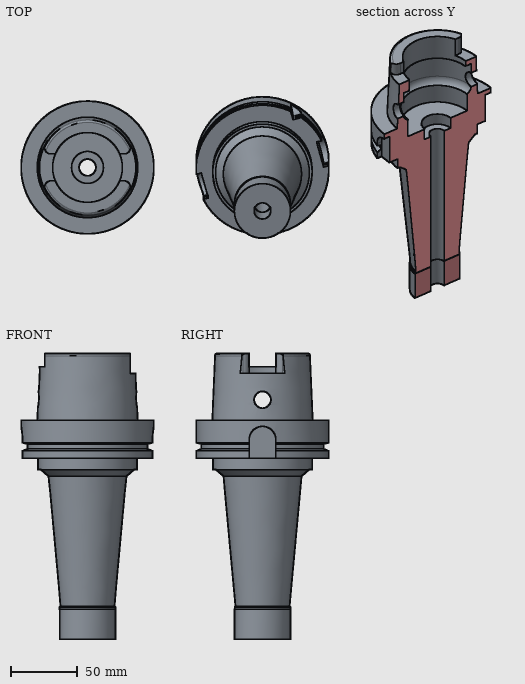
import cadquery as cq
import math

shank_top = 50.0
overall_length = 215.0
holder_bottom = -142.3
nut_bottom = shank_top - overall_length
collar_top = -140.0
flange_bottom = -28.8
neck_bottom = -37.2
taper_top = -42.1

flange_radius = 49.99
shank_top_radius = 35.7
shank_base_radius = 37.8
shank_edge_radius = 1.7
neck_radius = 37.5
cone_top_radius = 35.3
taper_top_radius = 29.5
nut_radius = 21.0
collar_chamfer = 0.6

groove_floor_radius = 46.2
groove_top = -17.0
groove_floor_top = -18.0
groove_floor_bottom = -21.7
groove_bottom = -23.2

mouth_radius = 26.2
lip_bottom = 29.9
undercut_radius = 31.4
lower_bore_radius = 27.5
undercut_bottom = 9.7
shoulder_round = 6.5
shoulder_inset = shoulder_round - (undercut_radius - lower_bore_radius)
shoulder_bottom = undercut_bottom - math.sqrt(shoulder_round**2 - shoulder_inset**2)
lower_bore_floor = -11.6
socket_radius = 12.0
socket_floor = -21.0
through_radius = 6.2

cross_hole_radius = 6.2
cross_hole_height = 15.3

notch_half_width = 10.0
notch_corner_radius = 4.7
tooth_half_length = 32.2
left_notch_floor = shank_top - 9.9
right_notch_floor = shank_top - 15.0

slot_radius = 10.0
slot_arch_top = -4.7
key_slot_floor = 45.0
side_slot_floor = 32.5
side_slot_offset = 41.3


def revolve_about_axis(profile):
    """Full turn of a half profile about the Z axis."""
    full_turn = 360
    return profile.revolve(full_turn, (0, 0, 0), (0, 1, 0))


def make_blank():
    """Turned outside of the holder."""
    profile = (
        cq.Workplane("YZ")
        .moveTo(0, shank_top)
        .lineTo(shank_top_radius, shank_top)
        .lineTo(shank_base_radius, 0)
        .lineTo(flange_radius, 0)
        .lineTo(flange_radius, groove_top)
        .lineTo(groove_floor_radius, groove_floor_top)
        .lineTo(groove_floor_radius, groove_floor_bottom)
        .lineTo(flange_radius, groove_bottom)
        .lineTo(flange_radius, flange_bottom)
        .lineTo(neck_radius, flange_bottom)
        .lineTo(neck_radius, neck_bottom)
        .lineTo(cone_top_radius, neck_bottom)
        .lineTo(taper_top_radius, taper_top)
        .lineTo(nut_radius - collar_chamfer, collar_top)
        .lineTo(nut_radius, collar_top - collar_chamfer)
        .lineTo(nut_radius, holder_bottom)
        .lineTo(0, holder_bottom)
        .close()
    )
    blank = revolve_about_axis(profile)
    return blank.faces(">Z").edges().fillet(shank_edge_radius)


def make_bores():
    """Stepped bore: mouth, wider undercut, rounded shoulder, lower bore, socket and through hole."""
    profile = (
        cq.Workplane("YZ")
        .moveTo(0, shank_top)
        .lineTo(mouth_radius, shank_top)
        .lineTo(mouth_radius, lip_bottom)
        .lineTo(undercut_radius, lip_bottom)
        .lineTo(undercut_radius, undercut_bottom)
        .radiusArc((lower_bore_radius, shoulder_bottom), shoulder_round)
        .lineTo(lower_bore_radius, lower_bore_floor)
        .lineTo(socket_radius, lower_bore_floor)
        .lineTo(socket_radius, socket_floor)
        .lineTo(through_radius, socket_floor)
        .lineTo(through_radius, holder_bottom)
        .lineTo(0, holder_bottom)
        .close()
    )
    return revolve_about_axis(profile)


def make_cross_hole():
    """Hole through both shank walls along X."""
    return (
        cq.Workplane("YZ")
        .center(0, cross_hole_height)
        .circle(cross_hole_radius)
        .extrude(flange_radius, both=True)
    )


def make_rim_notch(side, floor):
    """Notch in the rim that flares out round the rounded ends of the teeth."""
    corner_start = tooth_half_length - notch_corner_radius
    corner_end = notch_half_width + notch_corner_radius
    corner_reach = notch_corner_radius * math.sqrt(0.5)
    corner_middle = (corner_start + corner_reach, corner_end - corner_reach)
    outline = (
        cq.Workplane("XY", origin=(0, 0, floor))
        .moveTo(0, -notch_half_width)
        .lineTo(side * corner_start, -notch_half_width)
        .threePointArc(
            (side * corner_middle[0], -corner_middle[1]),
            (side * tooth_half_length, -corner_end),
        )
        .lineTo(side * tooth_half_length, -flange_radius)
        .lineTo(side * flange_radius, -flange_radius)
        .lineTo(side * flange_radius, flange_radius)
        .lineTo(side * tooth_half_length, flange_radius)
        .lineTo(side * tooth_half_length, corner_end)
        .threePointArc(
            (side * corner_middle[0], corner_middle[1]),
            (side * corner_start, notch_half_width),
        )
        .lineTo(0, notch_half_width)
        .close()
    )
    return outline.extrude(shank_top - floor)


def make_flange_slot(side, floor, offset):
    """Slot with an arched top, open at the flange rim and below the flange."""
    arch_centre = slot_arch_top - slot_radius
    outline = (
        cq.Workplane("YZ", origin=(side * floor, offset, 0))
        .moveTo(-slot_radius, flange_bottom)
        .lineTo(-slot_radius, arch_centre)
        .threePointArc((0, slot_arch_top), (slot_radius, arch_centre))
        .lineTo(slot_radius, flange_bottom)
        .close()
    )
    return outline.extrude(side * flange_radius)


def make_holder():
    """Taper-shank tool holder with its bores, notches and slots."""
    return (
        make_blank()
        .cut(make_bores())
        .cut(make_cross_hole())
        .cut(make_rim_notch(-1, left_notch_floor))
        .cut(make_rim_notch(1, right_notch_floor))
        .cut(make_flange_slot(-1, key_slot_floor, 0))
        .cut(make_flange_slot(1, key_slot_floor, 0))
        .cut(make_flange_slot(-1, side_slot_floor, side_slot_offset))
    )


def make_nut():
    """Clamping nut below the holder, flush with its collar."""
    return (
        cq.Workplane("XY", origin=(0, 0, nut_bottom))
        .circle(nut_radius)
        .circle(through_radius)
        .extrude(holder_bottom - nut_bottom)
    )


holder = make_holder()
nut = make_nut()
result = cq.Compound.makeCompound([holder.val(), nut.val()])